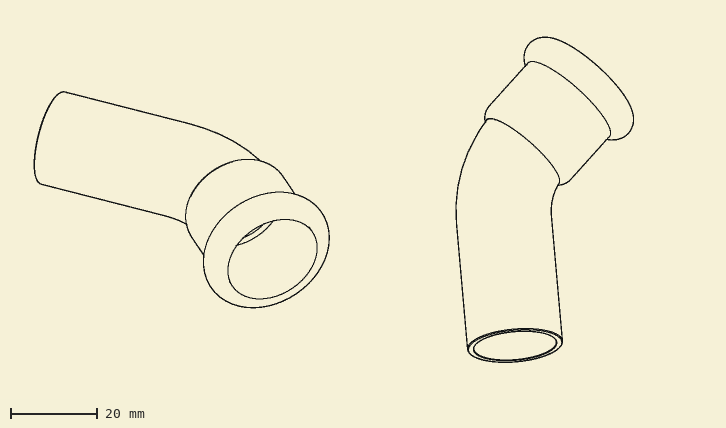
import cadquery as cq
import math

pipe_diameter = 22.0
pipe_bore = 19.0
bend_radius = 25.7
bend_angle = 45
spigot_length = 31.15
spigot_edge_chamfer = 0.2
bore_edge_chamfer = 0.15

socket_diameter = 25.3
socket_bore = 22.3
socket_length = 21.1
shoulder_length = 2.9
bead_diameter = 30.8
bead_width = 7.45

bend_start = (0, 0)
bend_center_y = -bend_radius
angle = math.radians(bend_angle)


def point_on_bend(turn):
    """Point on the bend centreline after turning away from the socket."""
    return (
        -bend_radius * math.sin(turn),
        bend_center_y + bend_radius * math.cos(turn),
    )


bend_end = point_on_bend(angle)
spigot_direction = cq.Vector(-math.cos(angle), -math.sin(angle), 0)


def bent_rod(diameter):
    """Solid round bar along the pipe, as its bend and its straight spigot."""
    path = cq.Workplane("XY").moveTo(*bend_start).threePointArc(point_on_bend(angle / 2), bend_end)
    bend = cq.Workplane("YZ").circle(diameter / 2).sweep(path)
    spigot_plane = cq.Plane(origin=(*bend_end, 0), xDir=(0, 0, 1), normal=spigot_direction)
    spigot = cq.Workplane(spigot_plane).circle(diameter / 2).extrude(spigot_length)
    return bend, spigot


def socket_body():
    """Solid of revolution about X: rounded shoulder, barrel and round bead."""
    barrel_radius = socket_diameter / 2
    shoulder_end_radius = pipe_diameter / 2
    bead_radius = bead_width / 2
    bead_center_x = socket_length - bead_radius
    bead_center_r = bead_diameter / 2 - bead_radius
    shoulder_drop = barrel_radius - shoulder_end_radius
    shoulder_radius = (shoulder_length**2 + shoulder_drop**2) / (2 * shoulder_drop)
    half_turn = math.asin(shoulder_length / shoulder_radius) / 2
    shoulder_middle = (
        -shoulder_radius * math.sin(half_turn),
        barrel_radius - shoulder_radius * (1 - math.cos(half_turn)),
    )

    barrel = (
        cq.Workplane("XY")
        .moveTo(-shoulder_length, 0)
        .lineTo(-shoulder_length, shoulder_end_radius)
        .threePointArc(shoulder_middle, (0, barrel_radius))
        .lineTo(bead_center_x, barrel_radius)
        .lineTo(bead_center_x, 0)
        .close()
        .revolve(360, (0, 0, 0), (1, 0, 0))
    )
    bead = (
        cq.Workplane("XY")
        .moveTo(bead_center_x - bead_radius, 0)
        .lineTo(bead_center_x - bead_radius, bead_center_r)
        .threePointArc((bead_center_x, bead_diameter / 2), (socket_length, bead_center_r))
        .lineTo(socket_length, 0)
        .close()
        .revolve(360, (0, 0, 0), (1, 0, 0))
    )
    return barrel.union(bead)


bend, spigot = bent_rod(pipe_diameter)
bend_hole, spigot_hole = bent_rod(pipe_bore)
socket_hole = cq.Workplane("YZ").circle(socket_bore / 2).extrude(socket_length)
spigot_end = cq.selectors.DirectionMinMaxSelector(spigot_direction)

spigot = spigot.faces(spigot_end).chamfer(spigot_edge_chamfer).cut(spigot_hole)
bore_edge = cq.selectors.RadiusNthSelector(0)
spigot = spigot.faces(spigot_end).edges(bore_edge).chamfer(bore_edge_chamfer)

result = bend.union(socket_body()).cut(bend_hole).cut(socket_hole).union(spigot)